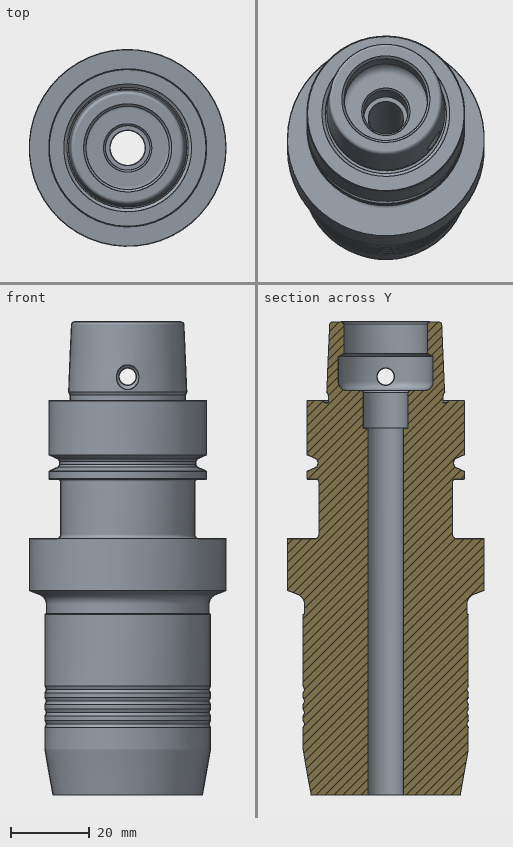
import cadquery as cq
import math

total_height = 119.9

nose_radius = 19.0
body_radius = 21.0
nose_cone_height = 11.5
body_top = 46.0
body_edge_chamfer = 0.4

groove_count = 4
groove_width = 1.8
groove_depth = 0.4
lowest_groove_center = 18.0
highest_groove_center = 26.7
groove_pitch = (highest_groove_center - lowest_groove_center) / (groove_count - 1)

collar_radius = 24.9
collar_bottom = 51.8
collar_top = 65.0
collar_neck_radius = 20.6
collar_arc_bottom = 48.3
collar_arc_radius = 2.6
collar_bevel_angle = 22

neck_radius = 17.0
neck_fillet_bottom = 1.0
neck_fillet_top = 0.6

flange_radius = 20.0
flange_bottom = 80.0
flange_top = 100.0
flange_edge_chamfer = 0.18
gripper_root_radius = 17.3
gripper_root_bottom = 83.7
gripper_root_top = 84.5
gripper_corner_width = 0.4
gripper_corner_height = 0.6
gripper_flank_angle = 24

relief_radius = 14.6
relief_top = 101.3
relief_depth = 0.6
relief_flat_radius = 15.3
relief_outer_radius = 16.2

taper_base_radius = 15.0
taper_base = 102.2
taper_tip_radius = 14.3
tip_fillet = 0.8

mouth_radius = 10.5
mouth_chamfer = 0.6
mouth_depth = 8.0
recess_radius = 12.0
recess_cone_angle = 60
recess_depth = 17.4
recess_fillet = 2.2
counterbore_radius = 5.6
counterbore_chamfer = 0.5
counterbore_depth = 9.6
bore_radius = 4.4

cross_hole_radius = 2.2
cross_hole_height = 106.0
cross_hole_sink = 1.0


def point_on_circle(center_x, center_z, radius, angle_degrees):
    """Point (radius, height) at the given angle on a circle in the half section."""
    angle = math.radians(angle_degrees)
    return center_x + radius * math.cos(angle), center_z + radius * math.sin(angle)


def revolve_profile(profile):
    """Close a half section and turn it about the vertical axis of its sketch plane."""
    return profile.close().revolve(360, (0, 0, 0), (0, 1, 0))


def make_outside():
    """Solid of revolution bounded by the outer contour."""
    profile = (
        cq.Workplane("XZ")
        .moveTo(0, 0)
        .lineTo(nose_radius, 0)
        .lineTo(body_radius, nose_cone_height)
    )

    for index in range(groove_count):
        center = lowest_groove_center + index * groove_pitch
        profile = (
            profile.lineTo(body_radius, center - groove_width / 2)
            .lineTo(body_radius - groove_depth, center)
            .lineTo(body_radius, center + groove_width / 2)
        )

    arc_center = (collar_neck_radius + collar_arc_radius, collar_arc_bottom)
    arc_end_angle = 90 + collar_bevel_angle
    arc_end = point_on_circle(*arc_center, collar_arc_radius, arc_end_angle)
    arc_middle = point_on_circle(*arc_center, collar_arc_radius, (180 + arc_end_angle) / 2)
    profile = (
        profile.lineTo(body_radius, body_top - body_edge_chamfer)
        .lineTo(collar_neck_radius, body_top)
        .lineTo(collar_neck_radius, collar_arc_bottom)
        .threePointArc(arc_middle, arc_end)
        .lineTo(collar_radius, collar_bottom)
        .lineTo(collar_radius, collar_top)
    )

    lower_center = (neck_radius + neck_fillet_bottom, collar_top + neck_fillet_bottom)
    upper_center = (neck_radius + neck_fillet_top, flange_bottom - neck_fillet_top)
    profile = (
        profile.lineTo(lower_center[0], collar_top)
        .threePointArc(
            point_on_circle(*lower_center, neck_fillet_bottom, 225),
            (neck_radius, lower_center[1]),
        )
        .lineTo(neck_radius, upper_center[1])
        .threePointArc(
            point_on_circle(*upper_center, neck_fillet_top, 135),
            (upper_center[0], flange_bottom),
        )
    )

    chamfered_radius = flange_radius - flange_edge_chamfer
    flank_slope = math.tan(math.radians(gripper_flank_angle))
    flank_start_radius = gripper_root_radius + gripper_corner_width
    lower_flank_start = gripper_root_bottom - gripper_corner_height
    upper_flank_start = gripper_root_top + gripper_corner_height
    gripper_bottom = lower_flank_start - flank_slope * (chamfered_radius - flank_start_radius)
    gripper_top = upper_flank_start + flank_slope * (flange_radius - flank_start_radius)
    profile = (
        profile.lineTo(chamfered_radius, flange_bottom)
        .lineTo(flange_radius, flange_bottom + flange_edge_chamfer)
        .lineTo(flange_radius, gripper_bottom - flange_edge_chamfer)
        .lineTo(chamfered_radius, gripper_bottom)
        .lineTo(flank_start_radius, lower_flank_start)
        .lineTo(gripper_root_radius, gripper_root_bottom)
        .lineTo(gripper_root_radius, gripper_root_top)
        .lineTo(flank_start_radius, upper_flank_start)
        .lineTo(flange_radius, gripper_top)
        .lineTo(flange_radius, flange_top - flange_edge_chamfer)
        .lineTo(chamfered_radius, flange_top)
    )

    profile = (
        profile.lineTo(relief_outer_radius, flange_top)
        .lineTo(relief_flat_radius, flange_top - relief_depth)
        .lineTo(relief_radius, flange_top - relief_depth)
        .lineTo(relief_radius, relief_top)
        .lineTo(taper_base_radius, taper_base)
        .lineTo(taper_tip_radius, total_height - tip_fillet)
        .threePointArc(
            point_on_circle(taper_tip_radius - tip_fillet, total_height - tip_fillet, tip_fillet, 45),
            (taper_tip_radius - tip_fillet, total_height),
        )
        .lineTo(0, total_height)
    )
    return revolve_profile(profile)


def make_inside():
    """Cavity of the hollow shank with the stepped axial through bore."""
    floor = total_height - recess_depth
    mouth_bottom = total_height - mouth_depth
    recess_top = mouth_bottom - (recess_radius - mouth_radius) / math.tan(math.radians(recess_cone_angle))
    fillet_center = (recess_radius - recess_fillet, floor + recess_fillet)
    profile = (
        cq.Workplane("XZ")
        .moveTo(0, 0)
        .lineTo(bore_radius, 0)
        .lineTo(bore_radius, floor - counterbore_depth)
        .lineTo(counterbore_radius, floor - counterbore_depth)
        .lineTo(counterbore_radius, floor - counterbore_chamfer)
        .lineTo(counterbore_radius + counterbore_chamfer, floor)
        .lineTo(recess_radius - recess_fillet, floor)
        .threePointArc(
            point_on_circle(*fillet_center, recess_fillet, -45),
            (recess_radius, floor + recess_fillet),
        )
        .lineTo(recess_radius, recess_top)
        .lineTo(mouth_radius, mouth_bottom)
        .lineTo(mouth_radius, total_height - mouth_chamfer)
        .lineTo(mouth_radius + mouth_chamfer, total_height)
        .lineTo(0, total_height)
    )
    return revolve_profile(profile)


def make_cross_hole():
    """Hole along Y with a 45 degree countersink on each side of the shank."""
    taper_height = total_height - tip_fillet - taper_base
    taper_slope = (taper_base_radius - taper_tip_radius) / taper_height
    surface_radius = taper_base_radius - taper_slope * (cross_hole_height - taper_base)
    reach = taper_base_radius
    sink_start = surface_radius - cross_hole_sink
    sink_end_radius = cross_hole_radius + reach - sink_start
    half_profile = (
        cq.Workplane("XY")
        .lineTo(cross_hole_radius, 0)
        .lineTo(cross_hole_radius, sink_start)
        .lineTo(sink_end_radius, reach)
        .lineTo(0, reach)
    )
    half = revolve_profile(half_profile)
    return half.union(half.mirror("XZ")).translate((0, 0, cross_hole_height))


result = make_outside().cut(make_inside()).cut(make_cross_hole())